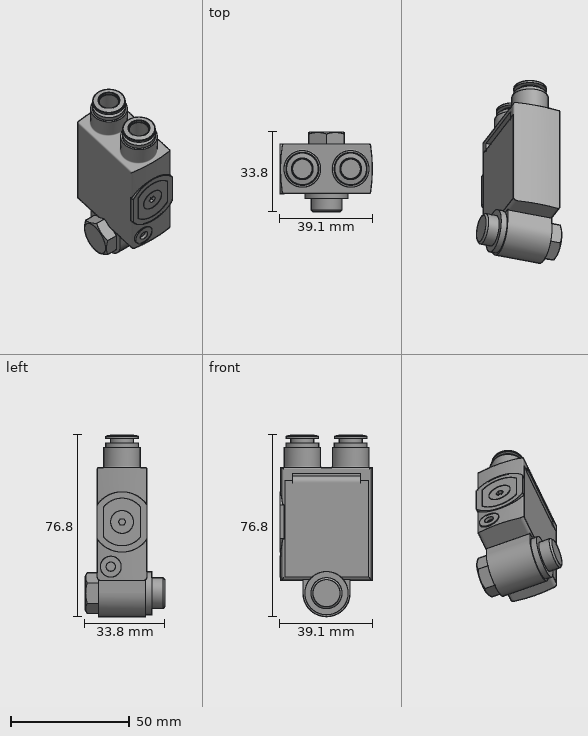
import cadquery as cq
import math


HEX_HALF_SECTOR = 30

body_bottom = 5.4
body_top = 53.0
body_half_thickness = 10.5
side_half_width_middle = 19.4
side_half_width_edge = 18.65
edge_radius = 0.7
bottom_edge_radius = 1.5

panel_left = -17.5
panel_right = 17.7
panel_bottom = body_bottom + bottom_edge_radius
panel_top = 47.5
panel_depth = 0.1

slot_half_length = 14.35
slot_bottom = 46.6
slot_top = 50.5
slot_lip_radius = 3.0

foot_radius = 10.0
foot_half_thickness = 10.0
collar_diameter = 18.3
collar_end = 12.6
pin_diameter = 13.1
pin_end = 18.2
pin_chamfer = 0.85
hex_across_flats = 15.05
hex_end = 15.6
hex_chamfer_diameter = 14.3
hex_chamfer_angle = 30

fitting_offset = 10.2
fitting_diameter = 15.5
fitting_shoulder = 61.6
fitting_base_fillet = 0.45
collet_diameter = 14.0
collet_top = 63.5
neck_diameter = 9.8
ring_bottom = 65.2
ring_diameter = 13.8
ring_edge_top = 66.4
ring_chamfer = 0.2
fitting_top = 66.8
bore_diameter = 8.2
bore_mouth_diameter = 9.2
bore_step_diameter = 8.8
bore_step_depth = 1.1
bore_depth = 11.5

plate_face = -19.7
plate_seat = -17.95
plate_diameter = 25.5
plate_half_thickness = 10.6
plate_z = 30.1
plate_recess_diameter = 20.1
plate_recess_width = 15.7
screw_diameter = 9.7
recess_step = 0.15
socket_across_flats = 2.7
socket_depth = 1.5

button_y = 4.75
button_z = 11.2
button_face = -19.65
button_diameter = 8.8
button_hole_diameter = 3.9
button_hole_depth = 1.5


def cylinder_y(diameter, y_start, y_end):
    """Cylinder on the bolt axis between two Y positions."""
    return cq.Workplane("XZ", origin=(0, y_start, 0)).circle(diameter / 2).extrude(y_start - y_end)


def left_face(x, y, z):
    """Workplane at a point of the left side; extrusion runs into the part (+X)."""
    return cq.Workplane("YZ", origin=(x, y, z))


def make_body():
    t = body_half_thickness
    height = body_top - body_bottom
    bow_end = t - edge_radius
    plan = (
        cq.Workplane("XY", origin=(0, 0, body_bottom))
        .rect(2 * side_half_width_edge, 2 * t)
        .extrude(height)
        .edges("|Z")
        .fillet(edge_radius)
    )
    bowed_sides = (
        cq.Workplane("XY", origin=(0, 0, body_bottom))
        .moveTo(side_half_width_edge, -bow_end)
        .threePointArc((side_half_width_middle, 0), (side_half_width_edge, bow_end))
        .lineTo(-side_half_width_edge, bow_end)
        .threePointArc((-side_half_width_middle, 0), (-side_half_width_edge, -bow_end))
        .close()
        .extrude(height)
    )
    side_profile = (
        cq.Workplane("XY")
        .box(4 * side_half_width_middle, 2 * t, height)
        .translate((0, 0, body_bottom + height / 2))
        .edges("|X and >Z")
        .fillet(edge_radius)
        .edges("|X and <Z")
        .fillet(bottom_edge_radius)
    )
    return plan.union(bowed_sides).intersect(side_profile)


def make_panel_recess():
    return (
        cq.Workplane("XY")
        .box(panel_right - panel_left, panel_depth, panel_top - panel_bottom, centered=False)
        .translate((panel_left, -body_half_thickness, panel_bottom))
    )


def make_finger_slot():
    """Pocket with a flat back and a quarter-round lower lip that bulges outwards."""
    face = -body_half_thickness
    panel_face = face + panel_depth
    back = panel_face + slot_lip_radius
    lip_top = slot_bottom + slot_lip_radius
    lip_middle = slot_lip_radius * math.sqrt(0.5)
    return (
        cq.Workplane("YZ", origin=(-slot_half_length, 0, 0))
        .moveTo(panel_face, slot_bottom)
        .threePointArc((back - lip_middle, slot_bottom + lip_middle), (back, lip_top))
        .lineTo(back, slot_top)
        .lineTo(face, slot_top)
        .lineTo(face, slot_bottom)
        .close()
        .extrude(2 * slot_half_length)
    )


def make_foot():
    t = foot_half_thickness
    round_end = cylinder_y(2 * foot_radius, -t, t)
    web = (
        cq.Workplane("XY")
        .rect(2 * foot_radius, 2 * t)
        .extrude(body_bottom + bottom_edge_radius)
    )
    return round_end.union(web)


def make_bolt():
    collar = cylinder_y(collar_diameter, 0, -collar_end)
    pin = cylinder_y(pin_diameter, 0, -pin_end).faces("<Y").chamfer(pin_chamfer)
    corner_diameter = hex_across_flats / math.cos(math.radians(HEX_HALF_SECTOR))
    head = (
        cq.Workplane("XZ")
        .polygon(6, corner_diameter)
        .extrude(-hex_end)
        .rotate((0, 0, 0), (0, 1, 0), HEX_HALF_SECTOR)
    )
    corner_overhang = (corner_diameter - hex_chamfer_diameter) / 2
    chamfer_drop = corner_overhang * math.tan(math.radians(hex_chamfer_angle))
    chamfer_cone = (
        cylinder_y(corner_diameter, 0, hex_end)
        .faces(">Y")
        .chamfer(chamfer_drop, corner_overhang)
    )
    return collar.union(pin).union(head.intersect(chamfer_cone))


def make_fitting(x):
    """Turned tube fitting with a slightly conical top and a stepped blind bore."""
    base_radius = fitting_diameter / 2
    fillet_middle = fitting_base_fillet * (1 - math.sqrt(0.5))
    mouth_depth = (bore_mouth_diameter - bore_step_diameter) / 2
    profile = (
        cq.Workplane("XZ")
        .moveTo(0, body_top)
        .lineTo(base_radius + fitting_base_fillet, body_top)
        .threePointArc(
            (base_radius + fillet_middle, body_top + fillet_middle),
            (base_radius, body_top + fitting_base_fillet),
        )
        .lineTo(base_radius, fitting_shoulder)
        .lineTo(collet_diameter / 2, fitting_shoulder)
        .lineTo(collet_diameter / 2, collet_top)
        .lineTo(neck_diameter / 2, collet_top)
        .lineTo(neck_diameter / 2, ring_bottom)
        .lineTo(ring_diameter / 2, ring_bottom)
        .lineTo(ring_diameter / 2, ring_edge_top - ring_chamfer)
        .lineTo(ring_diameter / 2 - ring_chamfer, ring_edge_top)
        .lineTo(bore_mouth_diameter / 2, fitting_top)
        .lineTo(bore_step_diameter / 2, fitting_top - mouth_depth)
        .lineTo(bore_step_diameter / 2, fitting_top - bore_step_depth)
        .lineTo(bore_diameter / 2, fitting_top - bore_step_depth)
        .lineTo(bore_diameter / 2, fitting_top - bore_depth)
        .lineTo(0, fitting_top - bore_depth)
        .close()
    )
    return profile.revolve(360, (0, 0, 0), (0, 1, 0)).translate((x, 0, 0))


def make_plate():
    """Round plate trimmed just proud of the body thickness, with stepped recess and hex socket."""
    screw_face = plate_face + recess_step
    plate = left_face(plate_face, 0, plate_z).circle(plate_diameter / 2).extrude(plate_seat - plate_face)
    trim = (
        left_face(plate_face, 0, plate_z)
        .rect(2 * plate_half_thickness, plate_diameter)
        .extrude(plate_seat - plate_face)
    )
    recess = left_face(plate_face, 0, plate_z).circle(plate_recess_diameter / 2).extrude(recess_step)
    recess_trim = (
        left_face(plate_face, 0, plate_z)
        .rect(plate_recess_width, plate_recess_diameter)
        .extrude(recess_step)
    )
    screw_recess = left_face(screw_face, 0, plate_z).circle(screw_diameter / 2).extrude(recess_step)
    socket_corners = socket_across_flats / math.cos(math.radians(HEX_HALF_SECTOR))
    socket = left_face(screw_face, 0, plate_z).polygon(6, socket_corners).extrude(recess_step + socket_depth)
    recess = recess.intersect(recess_trim).union(screw_recess).union(socket)
    return plate.intersect(trim), recess


def make_button():
    face = left_face(button_face, button_y, button_z)
    button = face.circle(button_diameter / 2).extrude(plate_seat - button_face)
    hole = face.circle(button_hole_diameter / 2).extrude(button_hole_depth)
    return button, hole


plate_solid, plate_recess = make_plate()
button_solid, button_hole = make_button()

result = make_body().cut(make_panel_recess()).cut(make_finger_slot())
result = result.union(make_foot()).union(make_bolt())
for fitting_x in (-fitting_offset, fitting_offset):
    result = result.union(make_fitting(fitting_x))
result = result.union(plate_solid).cut(plate_recess)
result = result.union(button_solid).cut(button_hole)